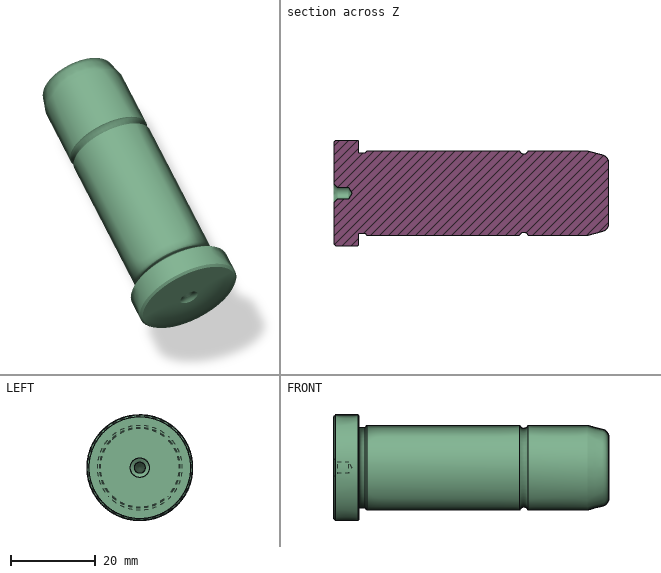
import cadquery as cq
import math

length = 65.0
head_diameter = 25.0
head_length = 6.0
body_diameter = 20.0

head_face_chamfer = 0.5
head_back_chamfer = 0.25

neck_diameter = 19.05
neck_length = 1.5
neck_ramp_length = 0.4

groove_start = 43.95
groove_width = 1.95
groove_depth = 0.7

taper_start = 60.0
taper_angle = math.radians(15)
nose_radius = 2.0

countersink_diameter = 4.55
countersink_angle = math.radians(90)
drill_diameter = 2.6
drill_length = 2.6
drill_point_angle = math.radians(120)


def make_pin():
    """Revolve the outer half profile about the X axis."""
    head_radius = head_diameter / 2
    body_radius = body_diameter / 2
    neck_radius = neck_diameter / 2
    neck_end = head_length + neck_length
    groove_middle = groove_start + groove_width / 2
    groove_end = groove_start + groove_width

    nose_start = length - nose_radius * (1 - math.sin(taper_angle))
    nose_start_radius = body_radius - (nose_start - taper_start) * math.tan(taper_angle)
    end_face_radius = nose_start_radius - nose_radius * math.cos(taper_angle)
    nose_mid_angle = (math.pi / 2 - taper_angle) / 2
    nose_mid = (
        length - nose_radius * (1 - math.cos(nose_mid_angle)),
        end_face_radius + nose_radius * math.sin(nose_mid_angle),
    )

    return (
        cq.Workplane("XY")
        .moveTo(0, 0)
        .lineTo(0, head_radius - head_face_chamfer)
        .lineTo(head_face_chamfer, head_radius)
        .lineTo(head_length - head_back_chamfer, head_radius)
        .lineTo(head_length, head_radius - head_back_chamfer)
        .lineTo(head_length, neck_radius)
        .lineTo(neck_end, neck_radius)
        .lineTo(neck_end + neck_ramp_length, body_radius)
        .lineTo(groove_start, body_radius)
        .threePointArc((groove_middle, body_radius - groove_depth), (groove_end, body_radius))
        .lineTo(taper_start, body_radius)
        .lineTo(nose_start, nose_start_radius)
        .threePointArc(nose_mid, (length, end_face_radius))
        .lineTo(length, 0)
        .close()
        .revolve(360, (0, 0, 0), (1, 0, 0))
    )


def make_centre_drilling():
    """Countersink, short pilot bore and conical drill point on the X axis."""
    drill_radius = drill_diameter / 2
    countersink_radius = countersink_diameter / 2
    countersink_depth = (countersink_radius - drill_radius) / math.tan(countersink_angle / 2)
    drill_end = countersink_depth + drill_length
    point_length = drill_radius / math.tan(drill_point_angle / 2)

    return (
        cq.Workplane("XY")
        .moveTo(0, 0)
        .lineTo(0, countersink_radius)
        .lineTo(countersink_depth, drill_radius)
        .lineTo(drill_end, drill_radius)
        .lineTo(drill_end + point_length, 0)
        .close()
        .revolve(360, (0, 0, 0), (1, 0, 0))
    )


result = make_pin().cut(make_centre_drilling())